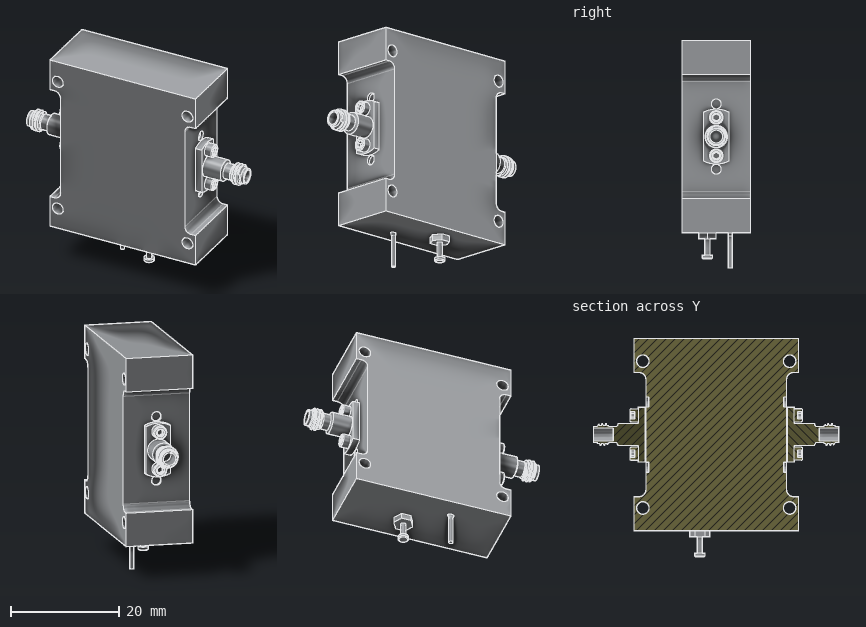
import cadquery as cq
import math

OVERALL_X = 45.35

HOUSING_X = 30.5
HOUSING_Y = 12.7
HOUSING_Z = 35.55
WAIST_X = 26.05
RECESS_Z = 22.9
RECESS_FILLET = 1.25
MOUNT_HOLE_DIA = 2.25
MOUNT_HOLE_OFFSET = 13.55
SIDE_HOLE_DIA = 1.8
SIDE_HOLE_OFFSET = 6.05
SIDE_HOLE_DEPTH = 0.55

PIN_X = -4.75
PIN_Y = 2.6
PIN_DIA = 0.75
PIN_LENGTH = 6.55
PIN_FLARE_X = 1.22
PIN_FLARE_LENGTH = 0.6
POST_X = 3.05
POST_Y = -1.65
POST_HEX_FLATS = 3.2
POST_HEX_HEIGHT = 1.15
POST_STEM_DIA = 1.0
POST_HEAD_DIA = 1.95
POST_HEAD_TOP = 4.15
POST_HEAD_HEIGHT = 0.7
POST_HEAD_CHAMFER = 0.2

FLANGE_DIA = 10.15
FLANGE_WIDTH = 4.65
FLANGE_GAP = 0.1
FLANGE_THICKNESS = 1.3
FLANGE_FACE = FLANGE_GAP + FLANGE_THICKNESS
CONNECTOR_LENGTH = (OVERALL_X - WAIST_X) / 2
BARREL_DIA = 4.15
BARREL_END = 5.13
BARREL_CONE_LENGTH = 0.25
NECK_DIA = 3.0
BORE_DIA = 2.35
BORE_DEPTH = 3.65
THREAD_CORE_DIA = 3.35
THREAD_DIA = 4.05
THREAD_PITCH = 0.7
THREAD_RIDGE_WIDTH = 0.5
THREAD_CREST_WIDTH = 0.15
THREAD_START = 6.75
THREAD_END = 9.05
THREAD_OVERLAP = 0.1
THREAD_CLEARANCE = 0.05

SCREW_OFFSET = 3.55
SCREW_HEAD_DIA = 2.5
SCREW_HEAD_HEIGHT = 1.55
SCREW_CHAMFER = 0.2
SOCKET_FLATS = 1.15
SOCKET_DEPTH = 0.9
SOCKET_RIM_DIA = 1.55

HOUSING_BOTTOM = -HOUSING_Z / 2
SIDES = (-1, 1)


def hex_corner_dia(across_flats):
    return across_flats / math.cos(math.pi / 6)


def place_on_wall(body, side):
    """Turn a body built along +Z so it grows out of the left (-1) or right (+1) recess wall."""
    if side < 0:
        turned = body.rotate((0, 0, 0), (0, 1, 0), -90)
    else:
        turned = body.rotate((0, 0, 0), (0, 1, 0), 90)
    return turned.translate((side * WAIST_X / 2, 0, 0))


def make_block():
    block = cq.Workplane("XY").box(HOUSING_X, HOUSING_Y, HOUSING_Z)
    recess_depth = (HOUSING_X - WAIST_X) / 2
    for side in SIDES:
        recess = (
            cq.Workplane("XY")
            .box(2 * recess_depth, HOUSING_Y, RECESS_Z)
            .edges("|Y")
            .fillet(RECESS_FILLET)
            .translate((side * HOUSING_X / 2, 0, 0))
        )
        side_holes = (
            cq.Workplane("YZ")
            .pushPoints([(0, -SIDE_HOLE_OFFSET), (0, SIDE_HOLE_OFFSET)])
            .circle(SIDE_HOLE_DIA / 2)
            .extrude(SIDE_HOLE_DEPTH, both=True)
            .translate((side * WAIST_X / 2, 0, 0))
        )
        block = block.cut(recess).cut(side_holes)
    mount_holes = (
        cq.Workplane("XZ")
        .rect(2 * MOUNT_HOLE_OFFSET, 2 * MOUNT_HOLE_OFFSET, forConstruction=True)
        .vertices()
        .circle(MOUNT_HOLE_DIA / 2)
        .extrude(HOUSING_Y, both=True)
    )
    return block.cut(mount_holes)


def make_ground_pin():
    base = cq.Workplane("XY", origin=(PIN_X, PIN_Y, HOUSING_BOTTOM))
    pin = base.circle(PIN_DIA / 2).extrude(-PIN_LENGTH)
    flare = (
        base.ellipse(PIN_FLARE_X / 2, PIN_DIA / 2)
        .workplane(offset=-PIN_FLARE_LENGTH)
        .circle(PIN_DIA / 2)
        .loft()
    )
    return pin.union(flare)


def make_post():
    base = cq.Workplane("XY", origin=(POST_X, POST_Y, HOUSING_BOTTOM))
    nut = base.polygon(6, hex_corner_dia(POST_HEX_FLATS)).extrude(-POST_HEX_HEIGHT)
    stem = base.circle(POST_STEM_DIA / 2).extrude(-POST_HEAD_TOP)
    head = (
        base.workplane(offset=-POST_HEAD_TOP)
        .circle(POST_HEAD_DIA / 2)
        .extrude(-POST_HEAD_HEIGHT)
        .faces("<Z")
        .chamfer(POST_HEAD_CHAMFER)
    )
    return nut.union(stem).union(head)


def make_housing():
    """The block and the two terminals fixed in its underside form one solid."""
    return make_block().union(make_ground_pin()).union(make_post())


def make_thread():
    """Core with a right-hand helical ridge, both chamfered down to the neck at each end."""
    core_radius = THREAD_CORE_DIA / 2
    thread_radius = THREAD_DIA / 2
    root_radius = core_radius - THREAD_OVERLAP
    length = THREAD_END - THREAD_START
    helix = cq.Wire.makeHelix(THREAD_PITCH, length - THREAD_RIDGE_WIDTH, root_radius)
    ridge = (
        cq.Workplane("XZ")
        .moveTo(root_radius, -THREAD_RIDGE_WIDTH / 2)
        .lineTo(thread_radius, -THREAD_CREST_WIDTH / 2)
        .lineTo(thread_radius, THREAD_CREST_WIDTH / 2)
        .lineTo(root_radius, THREAD_RIDGE_WIDTH / 2)
        .close()
        .sweep(cq.Workplane(helix), isFrenet=True)
        .translate((0, 0, THREAD_START + THREAD_RIDGE_WIDTH / 2))
    )
    core = cq.Workplane("XY", origin=(0, 0, THREAD_START)).circle(core_radius).extrude(length)
    envelope_radius = thread_radius + THREAD_CLEARANCE
    envelope = (
        cq.Workplane("XY", origin=(0, 0, THREAD_START))
        .circle(envelope_radius)
        .extrude(length)
        .faces("<Z or >Z")
        .chamfer(envelope_radius - NECK_DIA / 2)
    )
    return core.union(ridge).intersect(envelope)


def make_connector():
    """Flanged coaxial jack, built along +Z with the recess wall at Z = 0."""
    back = cq.Workplane("XY", origin=(0, 0, FLANGE_GAP))
    disc = back.circle(FLANGE_DIA / 2).extrude(FLANGE_THICKNESS)
    flats = back.rect(FLANGE_DIA, FLANGE_WIDTH).extrude(FLANGE_THICKNESS)
    flange = disc.intersect(flats)
    barrel = back.circle(BARREL_DIA / 2).extrude(BARREL_END - FLANGE_GAP)
    cone = (
        cq.Workplane("XY", origin=(0, 0, BARREL_END))
        .circle(BARREL_DIA / 2)
        .workplane(offset=BARREL_CONE_LENGTH)
        .circle(NECK_DIA / 2)
        .loft()
    )
    neck = back.circle(NECK_DIA / 2).extrude(CONNECTOR_LENGTH - FLANGE_GAP)
    bore = (
        cq.Workplane("XY", origin=(0, 0, CONNECTOR_LENGTH))
        .circle(BORE_DIA / 2)
        .extrude(-BORE_DEPTH)
    )
    return flange.union(barrel).union(cone).union(neck).union(make_thread()).cut(bore)


def make_screw():
    """Socket-head screw seated on the flange, built along +Z."""
    head = (
        cq.Workplane("XY")
        .circle(SCREW_HEAD_DIA / 2)
        .extrude(SCREW_HEAD_HEIGHT)
        .faces(">Z")
        .chamfer(SCREW_CHAMFER)
    )
    top = cq.Workplane("XY", origin=(0, 0, SCREW_HEAD_HEIGHT))
    socket = top.polygon(6, hex_corner_dia(SOCKET_FLATS)).extrude(-SOCKET_DEPTH)
    rim_depth = (SOCKET_RIM_DIA - SOCKET_FLATS) / 2
    rim = top.circle(SOCKET_RIM_DIA / 2).workplane(offset=-rim_depth).circle(SOCKET_FLATS / 2).loft()
    return head.cut(socket).cut(rim)


housing = make_housing()
connectors = []
screws = []
for side in SIDES:
    connectors.append(place_on_wall(make_connector(), side))
    for z_sign in SIDES:
        seat = (z_sign * SCREW_OFFSET, 0, FLANGE_FACE)
        screws.append(place_on_wall(make_screw().translate(seat), side))

result = cq.Compound.makeCompound(
    [
        *housing.solids().vals(),
        *[connector.solids().val() for connector in connectors],
        *[screw.solids().val() for screw in screws],
    ]
)